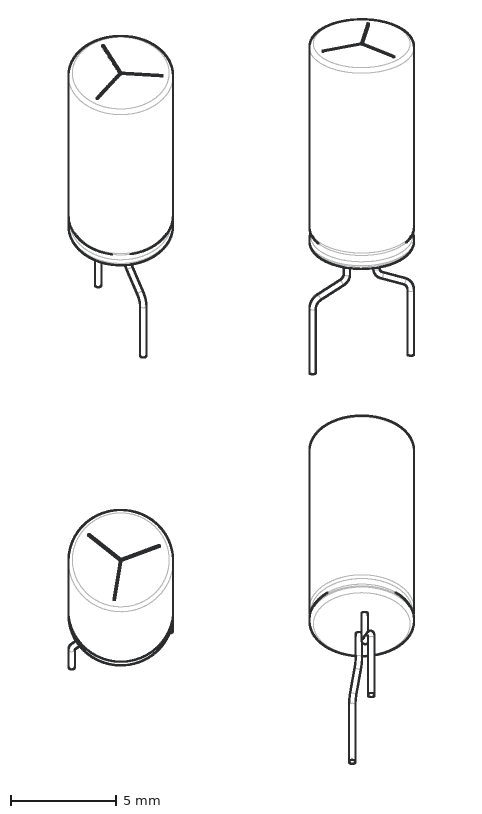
import cadquery as cq
import math

can_diameter = 5.0
can_radius = can_diameter / 2
can_height = 11.0
rim_fillet = 0.2

groove_start = 0.26
groove_arc_radius = 0.25
groove_arc_angle = math.radians(45)

score_length = 1.98
score_width = 0.07
score_depth = 0.1
score_angles = (60, 180, 300)

total_height = 17.52
lead_length = total_height - can_height
lead_diameter = 0.32
lead_embed = 0.18
inner_spacing = 1.5
outer_spacing = 5.0
upper_straight = 1.47
upper_bend_radius = 0.45
lower_bend_radius = 0.61
bend_angle = math.radians(64)


def make_can():
    """Revolved can with rounded rims and a smooth groove; its foot is at Z = 0."""
    r = groove_arc_radius
    step_in = r * (1 - math.cos(groove_arc_angle))
    step_up = r * math.sin(groove_arc_angle)
    half_in = r * (1 - math.cos(groove_arc_angle / 2))
    half_up = r * math.sin(groove_arc_angle / 2)
    floor = can_radius - 2 * step_in
    middle = groove_start + 2 * step_up
    end = groove_start + 4 * step_up
    side = can_radius - step_in
    corner = rim_fillet * (1 - math.sqrt(0.5))

    profile = (
        cq.Workplane("XZ")
        .lineTo(can_radius - rim_fillet, 0)
        .threePointArc((can_radius - corner, corner), (can_radius, rim_fillet))
        .lineTo(can_radius, groove_start)
        .threePointArc((can_radius - half_in, groove_start + half_up), (side, middle - step_up))
        .threePointArc((floor + half_in, middle - half_up), (floor, middle))
        .threePointArc((floor + half_in, middle + half_up), (side, middle + step_up))
        .threePointArc((can_radius - half_in, end - half_up), (can_radius, end))
        .lineTo(can_radius, can_height - rim_fillet)
        .threePointArc(
            (can_radius - corner, can_height - corner),
            (can_radius - rim_fillet, can_height),
        )
        .lineTo(0, can_height)
        .close()
    )
    return profile.revolve(360, (0, 0, 0), (0, 1, 0))


def make_vent_scores():
    """Three straight scores running from the centre of the top face outward."""
    scores = cq.Workplane("XY")
    for angle in score_angles:
        score = (
            cq.Workplane("XY")
            .box(score_length, score_width, score_depth, centered=(False, True, False))
            .translate((0, 0, can_height - score_depth))
            .rotate((0, 0, 0), (0, 0, 1), angle)
        )
        scores = scores.add(score)
    return scores.combine()


def make_lead():
    """Lead on the +X side: drops from the can, bends outward, then turns down again."""
    sin_bend = math.sin(bend_angle)
    cos_bend = math.cos(bend_angle)
    sin_half = math.sin(bend_angle / 2)
    cos_half = math.cos(bend_angle / 2)
    x_in = inner_spacing / 2
    x_out = outer_spacing / 2

    slope_top_x = x_in + upper_bend_radius * (1 - cos_bend)
    slope_top_z = -upper_straight - upper_bend_radius * sin_bend
    slope_low_x = x_out - lower_bend_radius * (1 - cos_bend)
    slope_low_z = slope_top_z - (slope_low_x - slope_top_x) / math.tan(bend_angle)
    lower_start_z = slope_low_z - lower_bend_radius * sin_bend

    upper_mid = (
        x_in + upper_bend_radius * (1 - cos_half),
        -upper_straight - upper_bend_radius * sin_half,
    )
    lower_mid = (
        x_out - lower_bend_radius * (1 - cos_half),
        lower_start_z + lower_bend_radius * sin_half,
    )
    path = (
        cq.Workplane("XZ")
        .moveTo(x_in, lead_embed)
        .lineTo(x_in, -upper_straight)
        .threePointArc(upper_mid, (slope_top_x, slope_top_z))
        .lineTo(slope_low_x, slope_low_z)
        .threePointArc(lower_mid, (x_out, lower_start_z))
        .lineTo(x_out, -lead_length)
    )
    section = cq.Workplane("XY", origin=(x_in, 0, lead_embed)).circle(lead_diameter / 2)
    return section.sweep(path)


lead = make_lead()
result = make_can().cut(make_vent_scores()).union(lead).union(lead.mirror("YZ"))